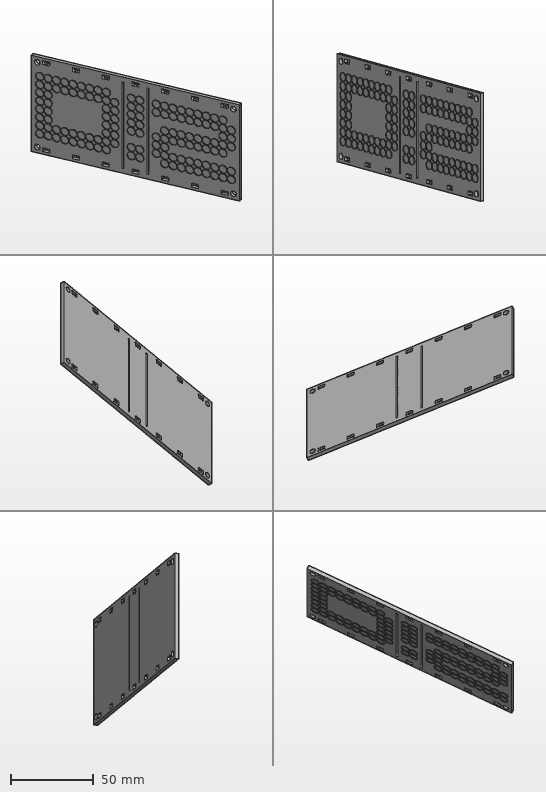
import cadquery as cq

LENGTH = 140.0
THICKNESS = 2.5
HEIGHT = 67.0

COLUMN_PITCH = 5.6
COLUMN_GAP = 0.2
ROW_GAP = 0.31
DIMPLE_DIAMETER = COLUMN_PITCH - COLUMN_GAP
ROW_PITCH = DIMPLE_DIAMETER + ROW_GAP
DIMPLE_DEPTH = 0.5
DIMPLE_PATTERN = [
    "ooooooooo..oo.ooooooooo.",
    "oooooooooo.oo.oooooooooo",
    "oo......oo.oo.........oo",
    "oo......oo.oo..ooooooooo",
    "oo......oo.oo.ooooooooo.",
    "oo......oo....oo........",
    "oooooooooo.oo.oooooooooo",
    "ooooooooo..oo..ooooooooo",
]

MOUNT_HOLE_DIAMETER = 3.6
MOUNT_HOLE_INSET = 4.0

SLOT_WIDTH = 1.05
SLOT_LENGTH = 60.0
SLOT_OFFSET = 1.5 * COLUMN_PITCH

WINDOW_COUNT = 7
WINDOW_PITCH = LENGTH / WINDOW_COUNT
WINDOW_EDGE_INSET = 2.0
WINDOW_STRAIGHT_DEPTH = 1.8
SCALLOP_COUNT = 3
SCALLOP_RADIUS = 0.78


def front_sketch():
    """Workplane on the -Y face; local x is X, local y is Z, normal points out of the board."""
    return cq.Workplane("XZ", origin=(0, -THICKNESS / 2, 0))


def dimple_centres():
    """Centre of every dimple in the pattern."""
    last_row = len(DIMPLE_PATTERN) - 1
    last_column = len(DIMPLE_PATTERN[0]) - 1
    centres = []
    for row, places in enumerate(DIMPLE_PATTERN):
        for column, place in enumerate(places):
            if place == "o":
                x = (column - last_column / 2) * COLUMN_PITCH
                z = (last_row / 2 - row) * ROW_PITCH
                centres.append((x, z))
    return centres


def dimples():
    return front_sketch().pushPoints(dimple_centres()).circle(DIMPLE_DIAMETER / 2).extrude(-DIMPLE_DEPTH)


def mount_holes():
    return (
        front_sketch()
        .rect(LENGTH - 2 * MOUNT_HOLE_INSET, HEIGHT - 2 * MOUNT_HOLE_INSET, forConstruction=True)
        .vertices()
        .circle(MOUNT_HOLE_DIAMETER / 2)
        .extrude(-THICKNESS)
    )


def slots():
    return (
        front_sketch()
        .pushPoints([(-SLOT_OFFSET, 0), (SLOT_OFFSET, 0)])
        .slot2D(SLOT_LENGTH, SLOT_WIDTH, 90)
        .extrude(-THICKNESS)
    )


def edge_window(centre_x, side):
    """One scalloped window; side is +1 at the top edge and -1 at the bottom edge."""
    left = centre_x - SCALLOP_COUNT * SCALLOP_RADIUS
    right = centre_x + SCALLOP_COUNT * SCALLOP_RADIUS
    outer = HEIGHT / 2 - WINDOW_EDGE_INSET
    inner = outer - WINDOW_STRAIGHT_DEPTH
    outline = front_sketch().moveTo(right, side * inner).lineTo(right, side * outer)
    outline = outline.lineTo(left, side * outer).lineTo(left, side * inner)
    for scallop in range(SCALLOP_COUNT):
        start = left + 2 * scallop * SCALLOP_RADIUS
        outline = outline.threePointArc(
            (start + SCALLOP_RADIUS, side * (inner - SCALLOP_RADIUS)),
            (start + 2 * SCALLOP_RADIUS, side * inner),
        )
    return outline.close().extrude(-THICKNESS)


result = cq.Workplane("XY").box(LENGTH, THICKNESS, HEIGHT)
result = result.cut(dimples()).cut(mount_holes()).cut(slots())
for index in range(WINDOW_COUNT):
    window_x = (index - (WINDOW_COUNT - 1) / 2) * WINDOW_PITCH
    for side in (1, -1):
        result = result.cut(edge_window(window_x, side))